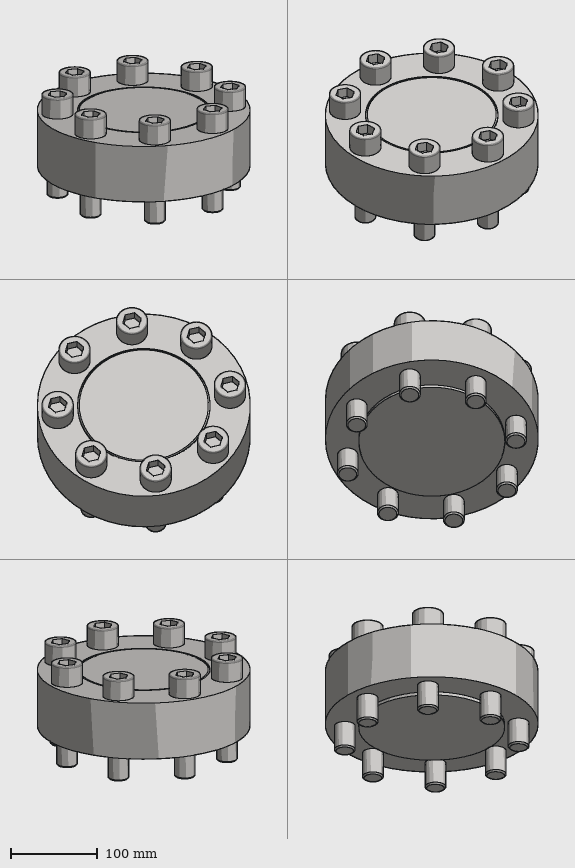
import cadquery as cq
import math

flange_diameter = 245.0
flange_thickness = 68.0

lip_diameter = 168.0
lip_height = 4.0

groove_outer_diameter = 152.4
groove_inner_diameter = 148.4
groove_depth = (groove_outer_diameter - groove_inner_diameter) / 2

bolt_count = 8
bolt_circle_diameter = 200.0
bolt_start_angle = 180.0 / bolt_count
shank_diameter = 24.0
shank_projection = 32.0
thread_root_diameter = 20.32
shank_chamfer = (shank_diameter - thread_root_diameter) / 2
head_diameter = 36.0
head_height = 24.0
head_edge_radius = 1.0
socket_across_flats = 19.0
socket_across_corners = socket_across_flats / math.cos(math.pi / 6)
socket_depth = 12.0
socket_rotation = 30.0


def make_flange():
    """Disc with a lip underneath and a V-shaped ring groove on top."""
    disc = cq.Workplane("XY").circle(flange_diameter / 2).extrude(flange_thickness)
    lip = cq.Workplane("XY").circle(lip_diameter / 2).extrude(-lip_height)
    groove = (
        cq.Workplane("XZ")
        .moveTo(groove_inner_diameter / 2, flange_thickness)
        .lineTo(groove_outer_diameter / 2, flange_thickness)
        .lineTo(groove_outer_diameter / 2, flange_thickness - groove_depth)
        .close()
        .revolve(360, (0, 0, 0), (0, 1, 0))
    )
    return disc.union(lip).cut(groove)


def make_bolt():
    """Bolt on the Z axis, its head seated on the top face of the flange."""
    shank = (
        cq.Workplane("XY", origin=(0, 0, -shank_projection))
        .circle(shank_diameter / 2)
        .extrude(shank_projection + flange_thickness)
        .faces("<Z")
        .chamfer(shank_chamfer)
    )
    head = (
        cq.Workplane("XY", origin=(0, 0, flange_thickness))
        .circle(head_diameter / 2)
        .extrude(head_height)
        .faces(">Z")
        .fillet(head_edge_radius)
    )
    socket = (
        cq.Workplane("XY", origin=(0, 0, flange_thickness + head_height))
        .polygon(6, socket_across_corners)
        .extrude(-socket_depth)
        .rotate((0, 0, 0), (0, 0, 1), socket_rotation)
    )
    return shank.union(head).cut(socket)


def place_bolts(bolt):
    """Copies of the bolt spaced evenly on the bolt circle, all turned the same way."""
    return (
        cq.Workplane("XY")
        .polarArray(bolt_circle_diameter / 2, bolt_start_angle, 360, bolt_count, rotate=False)
        .eachpoint(bolt.val(), combine=False)
    )


result = make_flange()
for placed_bolt in place_bolts(make_bolt()).vals():
    result = result.union(cq.Workplane(placed_bolt))